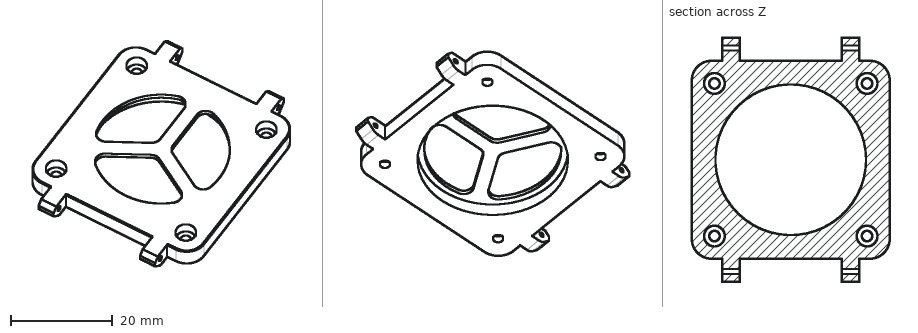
import cadquery as cq

PLATE_SIDE = 39.0
THICKNESS = 4.0
CORNER_RADIUS = THICKNESS
TOP_CHAMFER = 0.2

OVERALL_LENGTH = 48.0
TAB_INNER_X = 10.0
TAB_WIDTH = 3.5
TAB_TOP_BEVEL = 1.0
TAB_BOTTOM_BEVEL = 1.9
TAB_BOTTOM_ROUND = 2.0
PIN_INSET = 2.0
PIN_HEIGHT = 2.2
PIN_DIAMETER = 1.0

SCREW_SPACING = 30.0
SCREW_DIAMETER = 2.0
HEAD_DIAMETER = 2 * SCREW_DIAMETER
HEAD_DEPTH = 2.3

OPENING_RADIUS = 13.5
SPOKE_WIDTH = 3.0
SPOKE_COUNT = 3
SPOKE_THICKNESS = 1.0
WINDOW_FILLET = 2.0
BORE_RADIUS = 14.8


def make_plate():
    plate = cq.Workplane("XY").box(PLATE_SIDE, PLATE_SIDE, THICKNESS, centered=(True, True, False))
    return plate.edges("|Z").fillet(CORNER_RADIUS).faces(">Z").chamfer(TOP_CHAMFER)


def make_tab_bar(start_x):
    """Bar along the full length in Y whose two ends are bevelled hinge tabs with pin holes."""
    end_y = OVERALL_LENGTH / 2
    bottom_y = end_y - TAB_BOTTOM_BEVEL
    top_y = end_y - TAB_TOP_BEVEL
    pin_y = end_y - PIN_INSET
    side_plane = cq.Workplane("YZ", origin=(start_x, 0, 0))
    profile = [
        (-bottom_y, 0),
        (bottom_y, 0),
        (end_y, TAB_BOTTOM_BEVEL),
        (end_y, THICKNESS - TAB_TOP_BEVEL),
        (top_y, THICKNESS),
        (-top_y, THICKNESS),
        (-end_y, THICKNESS - TAB_TOP_BEVEL),
        (-end_y, TAB_BOTTOM_BEVEL),
    ]
    bar = side_plane.polyline(profile).close().extrude(TAB_WIDTH)
    bar = bar.faces("<Z").edges("|X").fillet(TAB_BOTTOM_ROUND)
    pin_holes = (
        side_plane.pushPoints([(-pin_y, PIN_HEIGHT), (pin_y, PIN_HEIGHT)])
        .circle(PIN_DIAMETER / 2)
        .extrude(TAB_WIDTH)
    )
    return bar.cut(pin_holes)


def make_screw_holes():
    """Through holes with head recesses sunk from the top, as one cutting body."""
    layout = cq.Workplane("XY").rect(SCREW_SPACING, SCREW_SPACING, forConstruction=True).vertices()
    shanks = layout.circle(SCREW_DIAMETER / 2).extrude(THICKNESS)
    heads = layout.circle(HEAD_DIAMETER / 2).extrude(HEAD_DEPTH)
    return shanks.union(heads.translate((0, 0, THICKNESS - HEAD_DEPTH)))


def make_windows():
    """Sector-shaped windows between the spokes, with rounded corners."""
    windows = cq.Workplane("XY").circle(OPENING_RADIUS).extrude(THICKNESS)
    spoke = (
        cq.Workplane("XY")
        .rect(SPOKE_WIDTH, 2 * OPENING_RADIUS)
        .extrude(THICKNESS)
        .translate((0, OPENING_RADIUS, 0))
    )
    for index in range(SPOKE_COUNT):
        angle = index * 360 / SPOKE_COUNT
        windows = windows.cut(spoke.rotate((0, 0, 0), (0, 0, 1), angle))
    return windows.edges("|Z").fillet(WINDOW_FILLET)


def make_bore():
    return cq.Workplane("XY").circle(BORE_RADIUS).extrude(THICKNESS - SPOKE_THICKNESS)


result = make_plate()
for start_x in (TAB_INNER_X, -TAB_INNER_X - TAB_WIDTH):
    result = result.union(make_tab_bar(start_x))
result = result.cut(make_screw_holes()).cut(make_windows()).cut(make_bore())